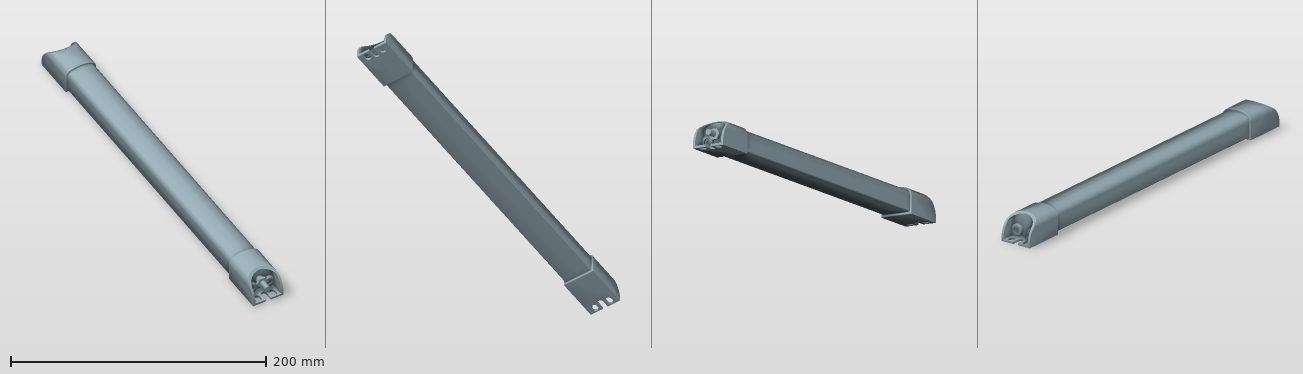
import cadquery as cq
import math

LENGTH = 330.0
MIDDLE = LENGTH / 2

CAP_WIDTH = 27.5
CAP_HALF_WIDTH = CAP_WIDTH / 2
CAP_HEIGHT = 23.0
SHOULDER_Z = 15.2
CAP_SHOULDER_RADIUS = 6.5

TUBE_SIDE_STEP = 1.3
TUBE_TOP_STEP = 1.5
TUBE_HALF_WIDTH = CAP_HALF_WIDTH - TUBE_SIDE_STEP
TUBE_TOP = CAP_HEIGHT - TUBE_TOP_STEP
TUBE_BOTTOM = 2.0
TUBE_SHOULDER_RADIUS = 5.0
TUBE_EDGE_FILLET = 1.0

CAP_LENGTH = 38.3
NOSE_RADIUS = 18.5
NOSE_CENTRE_Z = 2.5
NOSE_SLOPE = math.radians(33)
MOUTH_FILLET = 0.5
SIDE_WALL = 2.0
ROOF_WALL = 1.3
FLOOR = 2.0
POCKET_DEPTH = 14.5
BULKHEAD = 1.0
SOCKET_START = POCKET_DEPTH + BULKHEAD

HOLE_LENGTH = 7.0
HOLE_WIDTH = 5.0
HOLE_X = 4.5
HOLE_Y = 7.0
SLOT_WIDTH = 4.5
SLOT_LENGTH = 9.2

SCREW_Y = 8.0
SCREW_Z = 7.0
HEAD_RADIUS = 5.0
HEAD_HEIGHT = 3.0
HEAD_FILLET = 0.5
SHANK_RADIUS = 2.0
SHANK_LENGTH = 13.2
RECESS_RADIUS = 2.5
RECESS_DEPTH = 1.5
CENTRE_HOLE_RADIUS = 1.0
CENTRE_HOLE_DEPTH = 2.5

CABLE_RADIUS = 2.3
CABLE_Z = 12.0
CABLE_SETBACK = 0.5
NUT_FACE = 9.0
NUT_HEIGHT = 2.0
NUT_ACROSS_CORNERS = 10.0
COLLAR_RADIUS = 4.0
COLLAR_HEIGHT = 1.0
NECK_RADIUS = 3.3


def domed_bar(start, end, half_width, bottom, top, radius):
    """Bar along X with straight sides, shoulders of the given radius and an arched crown."""
    centre_y = half_width - radius
    rise = top - SHOULDER_Z
    crown_radius = (centre_y**2 + rise**2 - radius**2) / (2 * (rise - radius))
    blend = math.asin(centre_y / (crown_radius - radius))
    middle = (blend + math.pi / 2) / 2

    def shoulder(angle, side):
        return side * (centre_y + radius * math.sin(angle)), SHOULDER_Z + radius * math.cos(angle)

    return (
        cq.Workplane("YZ", origin=(start, 0, 0))
        .moveTo(-half_width, bottom)
        .lineTo(half_width, bottom)
        .lineTo(half_width, SHOULDER_Z)
        .threePointArc(shoulder(middle, 1), shoulder(blend, 1))
        .threePointArc((0, top), shoulder(blend, -1))
        .threePointArc(shoulder(middle, -1), (-half_width, SHOULDER_Z))
        .close()
        .extrude(end - start)
    )


def rod(start, end, y, z, radius):
    """Cylinder along X."""
    return cq.Workplane("YZ", origin=(start, y, z)).circle(radius).extrude(end - start)


def to_right_end(body):
    return body.mirror("YZ", (MIDDLE, 0, 0))


def make_tube():
    bar = domed_bar(
        SOCKET_START, LENGTH - SOCKET_START, TUBE_HALF_WIDTH, TUBE_BOTTOM, TUBE_TOP, TUBE_SHOULDER_RADIUS
    )
    return bar.edges("|X and <Z").fillet(TUBE_EDGE_FILLET)


def nose_envelope():
    """Side profile of the left cap, wide enough to trim the full section."""

    def arc_point(angle):
        return NOSE_RADIUS * (1 - math.sin(angle)), NOSE_CENTRE_Z + NOSE_RADIUS * math.cos(angle)

    foot_x, foot_z = arc_point(math.pi / 2 + math.asin(NOSE_CENTRE_Z / NOSE_RADIUS))
    flat_x, flat_z = arc_point(NOSE_SLOPE)
    top_x = flat_x + (CAP_HEIGHT - flat_z) / math.tan(NOSE_SLOPE)
    return (
        cq.Workplane("XZ")
        .moveTo(foot_x, foot_z)
        .threePointArc(arc_point((NOSE_SLOPE + math.pi / 2) / 2), (flat_x, flat_z))
        .lineTo(top_x, CAP_HEIGHT)
        .lineTo(CAP_LENGTH, CAP_HEIGHT)
        .lineTo(CAP_LENGTH, 0)
        .close()
        .extrude(CAP_HALF_WIDTH, both=True)
    )


def floor_openings():
    holes = (
        cq.Workplane("XY")
        .pushPoints([(HOLE_X, -HOLE_Y), (HOLE_X, HOLE_Y)])
        .slot2D(HOLE_LENGTH, HOLE_WIDTH)
        .extrude(FLOOR)
    )
    slot = cq.Workplane("XY").slot2D(2 * SLOT_LENGTH, SLOT_WIDTH).extrude(FLOOR)
    return holes.union(slot)


def make_left_cap():
    block = domed_bar(0, CAP_LENGTH, CAP_HALF_WIDTH, 0, CAP_HEIGHT, CAP_SHOULDER_RADIUS)
    cap = block.intersect(nose_envelope()).faces(">X").edges().fillet(MOUTH_FILLET)
    pocket = domed_bar(
        0,
        POCKET_DEPTH,
        CAP_HALF_WIDTH - SIDE_WALL,
        FLOOR,
        CAP_HEIGHT - ROOF_WALL,
        CAP_SHOULDER_RADIUS - SIDE_WALL,
    )
    cap = cap.cut(pocket)
    return cap.cut(floor_openings())


def make_left_screw(y):
    head_start = POCKET_DEPTH - HEAD_HEIGHT
    head = rod(head_start, POCKET_DEPTH, y, SCREW_Z, HEAD_RADIUS).faces("<X").edges().fillet(HEAD_FILLET)
    shank = rod(POCKET_DEPTH, POCKET_DEPTH + SHANK_LENGTH, y, SCREW_Z, SHANK_RADIUS)
    recess = rod(head_start, head_start + RECESS_DEPTH, y, SCREW_Z, RECESS_RADIUS)
    centre_hole = rod(head_start, head_start + CENTRE_HOLE_DEPTH, y, SCREW_Z, CENTRE_HOLE_RADIUS)
    return head.union(shank).cut(recess).cut(centre_hole)


def make_cable():
    return rod(LENGTH - SOCKET_START, LENGTH - CABLE_SETBACK, 0, CABLE_Z, CABLE_RADIUS)


def make_gland():
    face = LENGTH - NUT_FACE
    nut_back = face - NUT_HEIGHT
    nut = (
        cq.Workplane("YZ", origin=(nut_back, 0, CABLE_Z))
        .polygon(6, NUT_ACROSS_CORNERS)
        .extrude(NUT_HEIGHT)
    )
    collar = rod(nut_back - COLLAR_HEIGHT, nut_back, 0, CABLE_Z, COLLAR_RADIUS)
    neck = rod(LENGTH - SOCKET_START, nut_back, 0, CABLE_Z, NECK_RADIUS)
    return nut.union(collar).union(neck)


left_screws = [make_left_screw(y) for y in (-SCREW_Y, SCREW_Y)]
right_screws = [to_right_end(screw) for screw in left_screws]
cable = make_cable()
gland = make_gland()

tube = make_tube()
left_cap = make_left_cap()
right_cap = to_right_end(left_cap).cut(tube).cut(gland)
left_cap = left_cap.cut(tube)
gland = gland.cut(cable)
for left_screw, right_screw in zip(left_screws, right_screws):
    left_cap = left_cap.cut(left_screw)
    right_cap = right_cap.cut(right_screw)
    tube = tube.cut(left_screw).cut(right_screw)

bodies = [tube, left_cap, right_cap, cable, gland, *left_screws, *right_screws]
result = cq.Compound.makeCompound([body.val() for body in bodies])